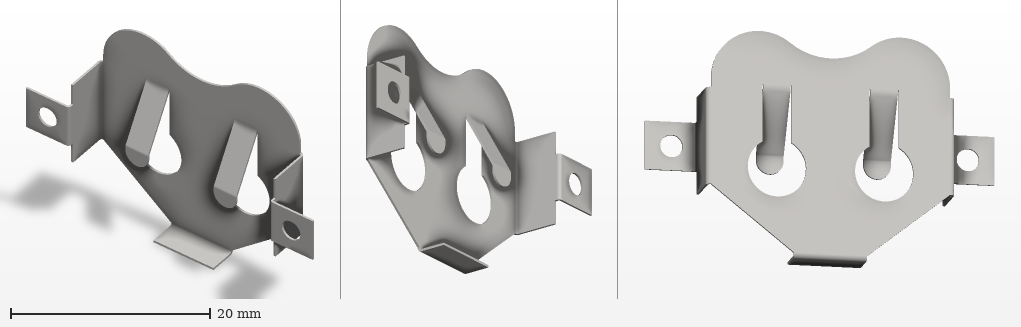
import cadquery as cq
import math


THICKNESS = 0.25
BEND_RADIUS = 0.25
TAB_BEND_RADIUS = 0.1
BEND_OUTER = BEND_RADIUS + THICKNESS
BEND_MIDDLE = BEND_RADIUS + THICKNESS / 2
SHEET_MIDDLE = -THICKNESS / 2

PLATE_HALF_WIDTH = 12.25
PLATE_TOP = 11.0
LOBE_RADIUS = 5.0
SADDLE_BOTTOM = 8.5

WALL_HEIGHT = 10.0
WALL_DEPTH = 5.0
TAB_HEIGHT = 5.0
PART_DEPTH = 5.7
PART_HALF_LENGTH = 17.9
HOLE_DIAMETER = 2.3
HOLE_X = 15.2

LIP_WIDTH = 7.5
LIP_DEPTH = 3.3
PART_BOTTOM = -12.2

FINGER_X = 5.5
FINGER_WIDTH = 2.8
FINGER_DEPTH = 3.75
FINGER_ROOT_RADIUS = 1.0
FINGER_BEND_END = -1.05
FINGER_BOTTOM = -2.9
SLOT_WIDTH = 3.0
SLOT_TOP = 5.5
WINDOW_DIAMETER = 6.0
WINDOW_Z = -3.0

WALL_MIDDLE_X = PLATE_HALF_WIDTH + BEND_MIDDLE
PLATE_BOTTOM = PART_BOTTOM + BEND_OUTER

ALONG_X = (1, 0, 0)
ALONG_Z = (0, 0, 1)
SIDEWAYS = (1, 0, 0)
FORWARD = (0, -1, 0)
DOWN = (0, 0, -1)


def bent_strip(path, start, direction, width_axis, width):
    """Sweep the sheet's section along its middle line, from a start point heading in a direction."""
    section_plane = cq.Plane(origin=start, xDir=width_axis, normal=direction)
    return cq.Workplane(section_plane).rect(width, THICKNESS).sweep(path)


def plate():
    """Flat plate with two round lobes joined by a tangent dip."""
    lobe_x = PLATE_HALF_WIDTH - LOBE_RADIUS
    lobe_z = PLATE_TOP - LOBE_RADIUS
    rise = SADDLE_BOTTOM - lobe_z
    dip_radius = (lobe_x**2 + rise**2 - LOBE_RADIUS**2) / (2 * (LOBE_RADIUS - rise))
    share = LOBE_RADIUS / (LOBE_RADIUS + dip_radius)
    join_x = lobe_x * (1 - share)
    join_z = lobe_z + (rise + dip_radius) * share
    wall_bottom = -WALL_HEIGHT / 2
    return (
        cq.Workplane("XZ")
        .moveTo(-LIP_WIDTH / 2, PLATE_BOTTOM)
        .lineTo(LIP_WIDTH / 2, PLATE_BOTTOM)
        .lineTo(PLATE_HALF_WIDTH, wall_bottom)
        .lineTo(PLATE_HALF_WIDTH, lobe_z)
        .threePointArc((lobe_x, PLATE_TOP), (join_x, join_z))
        .threePointArc((0, SADDLE_BOTTOM), (-join_x, join_z))
        .threePointArc((-lobe_x, PLATE_TOP), (-PLATE_HALF_WIDTH, lobe_z))
        .lineTo(-PLATE_HALF_WIDTH, wall_bottom)
        .close()
        .extrude(THICKNESS)
    )


def window(x):
    """Cutter for the keyhole opening around one finger."""
    slot_height = SLOT_TOP - WINDOW_Z
    slot = (
        cq.Workplane("XZ")
        .center(x, WINDOW_Z + slot_height / 2)
        .rect(SLOT_WIDTH, slot_height)
        .extrude(THICKNESS)
    )
    circle = cq.Workplane("XZ").center(x, WINDOW_Z).circle(WINDOW_DIAMETER / 2).extrude(THICKNESS)
    return slot.union(circle)


def finger(x):
    """Spring finger: bends forward out of the plate, slants down, then runs straight to a round tip."""
    drop = SLOT_TOP - FINGER_BEND_END
    reach = FINGER_DEPTH - THICKNESS
    root_bend = FINGER_ROOT_RADIUS + THICKNESS / 2
    bends = root_bend + BEND_MIDDLE
    centre_offset = reach - bends
    centre_distance = math.hypot(drop, centre_offset)
    slant = math.atan2(centre_offset, drop) + math.asin(bends / centre_distance)
    lean = 1 - math.cos(slant)
    rise = math.sin(slant)
    tip_y = SHEET_MIDDLE - reach
    path = (
        cq.Workplane("YZ")
        .moveTo(SHEET_MIDDLE, SLOT_TOP)
        .radiusArc((SHEET_MIDDLE - root_bend * lean, SLOT_TOP - root_bend * rise), root_bend)
        .lineTo(tip_y + BEND_MIDDLE * lean, FINGER_BEND_END + BEND_MIDDLE * rise)
        .radiusArc((tip_y, FINGER_BEND_END), -BEND_MIDDLE)
    )
    strip = bent_strip(path, (0, SHEET_MIDDLE, SLOT_TOP), DOWN, ALONG_X, FINGER_WIDTH)

    tip_radius = FINGER_WIDTH / 2
    round_start = FINGER_BOTTOM + tip_radius
    tip = (
        cq.Workplane("XZ", origin=(0, -reach, 0))
        .moveTo(-tip_radius, FINGER_BEND_END)
        .lineTo(-tip_radius, round_start)
        .threePointArc((0, FINGER_BOTTOM), (tip_radius, round_start))
        .lineTo(tip_radius, FINGER_BEND_END)
        .close()
        .extrude(THICKNESS)
    )
    return strip.union(tip).translate((x, 0, 0))


def right_wing():
    """Side wall at +X with its mounting tab and hole."""
    wall_path = (
        cq.Workplane("XY")
        .moveTo(PLATE_HALF_WIDTH, SHEET_MIDDLE)
        .radiusArc((WALL_MIDDLE_X, -BEND_OUTER), BEND_MIDDLE)
        .lineTo(WALL_MIDDLE_X, -WALL_DEPTH)
    )
    wall_start = (PLATE_HALF_WIDTH, SHEET_MIDDLE, 0)
    wall = bent_strip(wall_path, wall_start, SIDEWAYS, ALONG_Z, WALL_HEIGHT)

    tab_bend = TAB_BEND_RADIUS + THICKNESS / 2
    tab_y = -PART_DEPTH + THICKNESS / 2
    tab_path = (
        cq.Workplane("XY")
        .moveTo(WALL_MIDDLE_X, -WALL_DEPTH)
        .lineTo(WALL_MIDDLE_X, tab_y + tab_bend)
        .radiusArc((WALL_MIDDLE_X + tab_bend, tab_y), -tab_bend)
        .lineTo(PART_HALF_LENGTH, tab_y)
    )
    tab_start = (WALL_MIDDLE_X, -WALL_DEPTH, 0)
    tab = bent_strip(tab_path, tab_start, FORWARD, ALONG_Z, TAB_HEIGHT)
    hole = cq.Workplane("XZ").center(HOLE_X, 0).circle(HOLE_DIAMETER / 2).extrude(PART_DEPTH)
    return wall.union(tab).cut(hole)


def lip():
    """Lip bent forward along the plate's bottom edge."""
    lip_z = PART_BOTTOM + THICKNESS / 2
    path = (
        cq.Workplane("YZ")
        .moveTo(SHEET_MIDDLE, PLATE_BOTTOM)
        .radiusArc((-BEND_OUTER, lip_z), BEND_MIDDLE)
        .lineTo(-LIP_DEPTH, lip_z)
    )
    return bent_strip(path, (0, SHEET_MIDDLE, PLATE_BOTTOM), DOWN, ALONG_X, LIP_WIDTH)


wing = right_wing()
result = plate().union(lip()).union(wing).union(wing.mirror("YZ"))
for finger_x in (-FINGER_X, FINGER_X):
    result = result.cut(window(finger_x)).union(finger(finger_x))